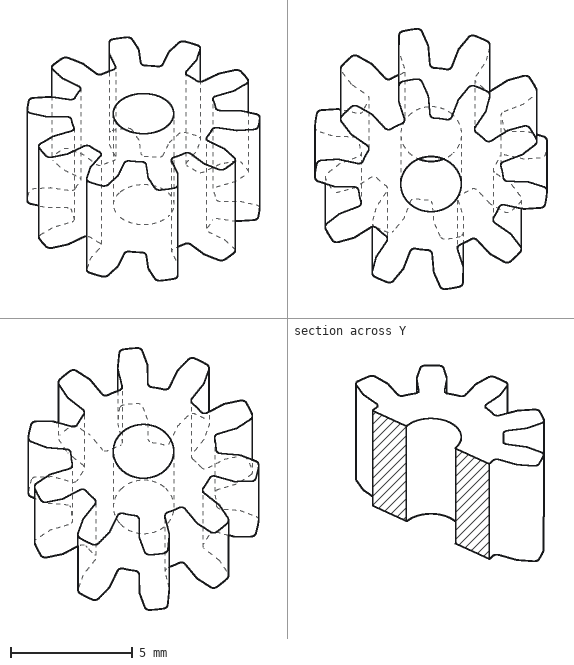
import cadquery as cq
import math

TOOTH_COUNT = 10
TIP_RADIUS = 4.8
ROOT_RADIUS = 3.0
FACE_WIDTH = 5.0
BORE_DIAMETER = 2.5

TIP_HALF_WIDTH = 0.45
WIDEST_HALF_WIDTH = 0.62
WIDEST_HEIGHT = 3.95
ROOT_HALF_WIDTH = 0.52
TIP_FILLET = 0.22
ROOT_FILLET = 0.19

TOOTH_ANGLE = 360.0 / TOOTH_COUNT


def height_on_circle(radius, half_width):
    """Distance from the gear axis, along the tooth, to where a circle has this half width."""
    return math.sqrt(radius**2 - half_width**2)


ROOT_HEIGHT = height_on_circle(ROOT_RADIUS, ROOT_HALF_WIDTH)
TIP_HEIGHT = height_on_circle(TIP_RADIUS, TIP_HALF_WIDTH)


def make_tooth():
    """One tooth pointing along +Y, running down to the axis, with rounded tip corners."""
    tooth = (
        cq.Workplane("XY")
        .moveTo(0, 0)
        .lineTo(ROOT_HALF_WIDTH, ROOT_HEIGHT)
        .lineTo(WIDEST_HALF_WIDTH, WIDEST_HEIGHT)
        .lineTo(TIP_HALF_WIDTH, TIP_HEIGHT)
        .threePointArc((0, TIP_RADIUS), (-TIP_HALF_WIDTH, TIP_HEIGHT))
        .lineTo(-WIDEST_HALF_WIDTH, WIDEST_HEIGHT)
        .lineTo(-ROOT_HALF_WIDTH, ROOT_HEIGHT)
        .close()
        .extrude(FACE_WIDTH)
    )
    return tooth.edges("|Z").edges(">Y").fillet(TIP_FILLET)


def make_toothed_blank():
    """Root cylinder joined to the ring of teeth."""
    blank = cq.Workplane("XY").circle(ROOT_RADIUS).extrude(FACE_WIDTH)
    tooth = make_tooth()
    for index in range(TOOTH_COUNT):
        blank = blank.union(tooth.rotate((0, 0, 0), (0, 0, 1), index * TOOTH_ANGLE))
    return blank


def round_root_corners(blank):
    """Fillet the inner corners where the flanks meet the root cylinder."""
    middle_radius = (ROOT_RADIUS + WIDEST_HEIGHT) / 2
    inner_edges = blank.edges("|Z").filter(
        lambda edge: math.hypot(edge.Center().x, edge.Center().y) < middle_radius
    )
    return inner_edges.fillet(ROOT_FILLET)


gear = round_root_corners(make_toothed_blank())
bore = cq.Workplane("XY").circle(BORE_DIAMETER / 2).extrude(FACE_WIDTH)
result = gear.cut(bore)